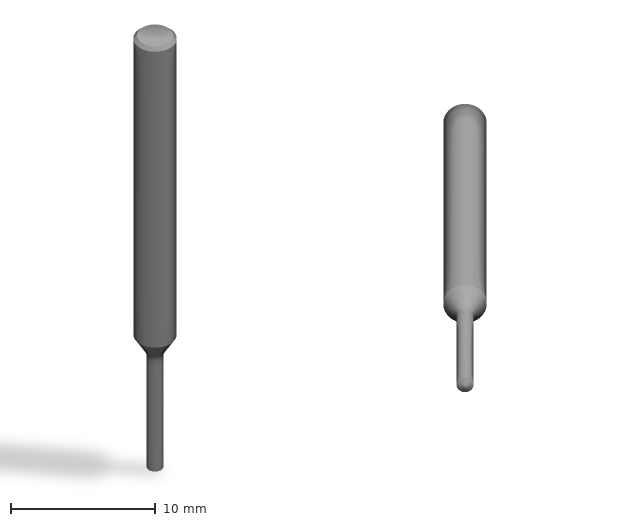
import cadquery as cq
import math

total_length = 38.0
shank_diameter = 3.0
drill_diameter = 1.18
shank_chamfer = 0.25
cutter_top = 7.05
neck_top = 10.05
blend_radius = 1.0
taper_half_angle = math.radians(30)
point_half_angle = math.radians(60)

shank_radius = shank_diameter / 2
drill_radius = drill_diameter / 2
point_height = drill_radius / math.tan(point_half_angle)


def blend_point(turn):
    """Point on the blend arc, turned by an angle away from the straight neck."""
    radius = drill_radius + blend_radius * (1 - math.cos(turn))
    height = neck_top + blend_radius * math.sin(turn)
    return radius, height


blend_end = blend_point(taper_half_angle)
taper_top = blend_end[1] + (shank_radius - blend_end[0]) / math.tan(taper_half_angle)


def make_cutter():
    """Cylindrical cutter with a conical drill point."""
    return (
        cq.Workplane("XZ")
        .lineTo(drill_radius, point_height)
        .lineTo(drill_radius, cutter_top)
        .lineTo(0, cutter_top)
        .close()
        .revolve(360, (0, 0), (0, 1))
    )


def make_holder():
    """Neck, filleted taper and chamfered shank, turned as one body."""
    return (
        cq.Workplane("XZ")
        .moveTo(0, cutter_top)
        .lineTo(drill_radius, cutter_top)
        .lineTo(drill_radius, neck_top)
        .threePointArc(blend_point(taper_half_angle / 2), blend_end)
        .lineTo(shank_radius, taper_top)
        .lineTo(shank_radius, total_length - shank_chamfer)
        .lineTo(shank_radius - shank_chamfer, total_length)
        .lineTo(0, total_length)
        .close()
        .revolve(360, (0, 0), (0, 1))
    )


cutter = make_cutter()
holder = make_holder()

result = cq.Compound.makeCompound([cutter.val(), holder.val()])